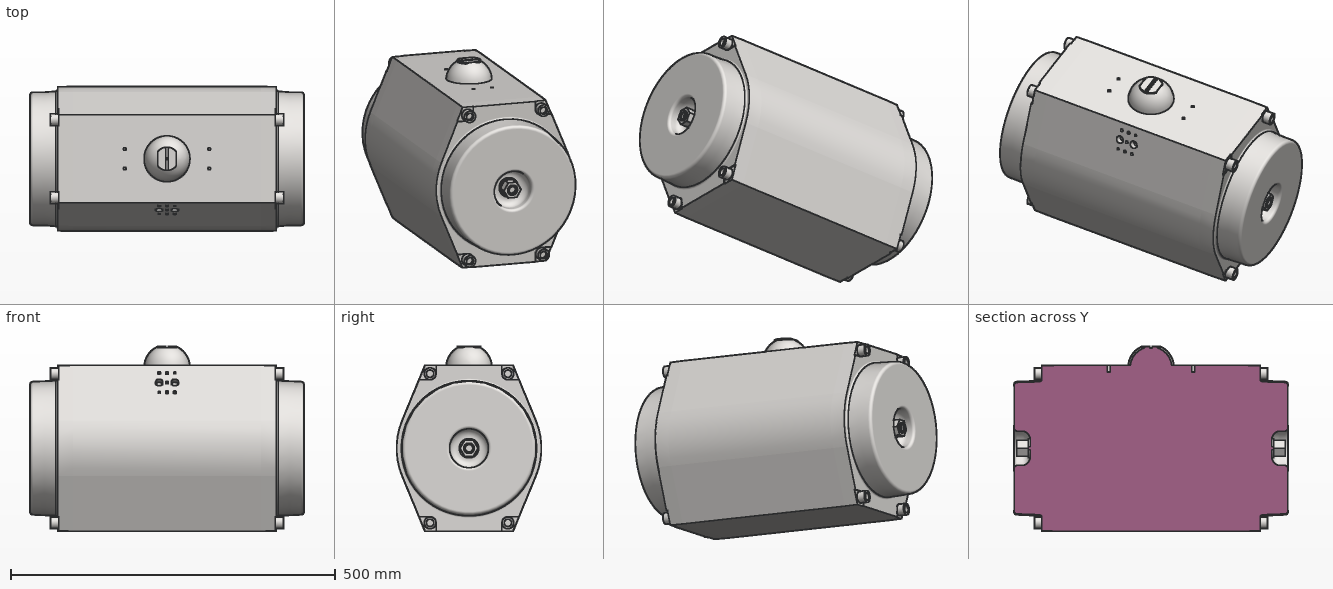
import cadquery as cq
import math

half_length = 211.0
overall_height = 285.0
body_half = 144.5
flange_end = 168.5
half_height = 128.0
flat_half_width = 68.0
side_radius = 223.2 / 2
flange_draft = 1.0

edge_distance = math.hypot(flat_half_width, half_height)
tangent_angle = math.atan2(half_height, flat_half_width) - math.acos(side_radius / edge_distance)
tangent_y = side_radius * math.cos(tangent_angle)
tangent_z = side_radius * math.sin(tangent_angle)

cap_root_radius = 104.2
cap_face_radius = 102.5
cap_root_fillet = 3.0
cap_edge_fillet = 5.0

bowl_radius = 60.0 / 2
bowl_rim_fillet = 4.5
bowl_depth = 25.0
bowl_floor_radius = 36.0 / 2
washer_diameter = 30.0
washer_thickness = 3.0
nut_across_flats = 24.0
nut_height = 17.5
screw_diameter = 16.0
screw_protrusion = 0.5
screw_socket_diameter = 11.5
screw_socket_depth = 4.2

bolt_y = 60.0
bolt_z = 114.8
bolt_head_diameter = 18.0
bolt_head_end = 179.5
bolt_socket_diameter = 11.5
bolt_socket_depth = 6.0
corner_radius = 9.3
corner_depth = 1.5

dome_base_radius = 35.5
dome_centre_drop = 4.0
indicator_diameter = 36.0
indicator_width = 29.0
indicator_top = overall_height - half_height
slot_width = 4.0
slot_depth = 2.5
indicator_hole_diameter = 3.0
indicator_hole_depth = 5.0

mount_x = 65.0
mount_y = 30.0 / 2
mount_diameter = 4.15
mount_depth = 10.0

valve_z = 101.3
valve_pitch_x = 24.0 / 2
valve_pitch_slope = 16.0
port_diameter = 11.5
port_depth = 12.5
valve_hole_diameter = 4.15
pin_hole_diameter = 3.0
valve_hole_depth = 10.0
drill_tip = 118.0


def section(x):
    """Housing outline in the plane across X."""
    return (
        cq.Workplane("YZ", origin=(x, 0, 0))
        .moveTo(-flat_half_width, half_height)
        .lineTo(flat_half_width, half_height)
        .lineTo(tangent_y, tangent_z)
        .threePointArc((side_radius, 0), (tangent_y, -tangent_z))
        .lineTo(flat_half_width, -half_height)
        .lineTo(-flat_half_width, -half_height)
        .lineTo(-tangent_y, -tangent_z)
        .threePointArc((-side_radius, 0), (-tangent_y, tangent_z))
        .close()
    )


def x_cylinder(diameter, x_start, x_end, y=0, z=0):
    return (
        cq.Workplane("YZ", origin=(x_start, y, z))
        .circle(diameter / 2)
        .extrude(x_end - x_start)
    )


def corner_seat(y_side, z_side):
    """Shallow step open to the outside of the flange corner, rounded under the bolt."""
    side = 4 * corner_radius
    offset = side / 2 - corner_radius
    seat = (
        cq.Workplane("YZ", origin=(flange_end - corner_depth, 0, 0))
        .rect(side, side)
        .extrude(corner_depth)
        .edges("|X")
        .fillet(corner_radius)
    )
    return seat.translate((0, y_side * (bolt_y + offset), z_side * (bolt_z + offset)))


def cap():
    """Drafted round cap with a rounded edge, running back to the middle housing."""
    profile = (
        cq.Workplane("XZ")
        .moveTo(body_half, 0)
        .lineTo(body_half, cap_root_radius)
        .lineTo(flange_end, cap_root_radius)
        .lineTo(half_length, cap_face_radius)
        .lineTo(half_length, 0)
        .close()
    )
    solid = profile.revolve(360, (0, 0, 0), (1, 0, 0))
    return solid.faces(">X").edges().fillet(cap_edge_fillet)


def root_fillet():
    """Concave ring between the flange face and the cap."""
    outer = cap_root_radius + cap_root_fillet
    end = flange_end + cap_root_fillet
    bend = cap_root_fillet * (1 - math.sqrt(0.5))
    return (
        cq.Workplane("XZ")
        .moveTo(flange_end, cap_root_radius - cap_root_fillet)
        .lineTo(flange_end, outer)
        .threePointArc((flange_end + bend, cap_root_radius + bend), (end, cap_root_radius))
        .lineTo(end, cap_root_radius - cap_root_fillet)
        .close()
        .revolve(360, (0, 0, 0), (1, 0, 0))
    )


def bowl():
    """Space cut from the cap face: rounded rim, short wall, rounded bottom."""
    floor_fillet = bowl_radius - bowl_floor_radius
    floor = half_length - bowl_depth
    wall_start = half_length - bowl_rim_fillet
    rim_bend = bowl_rim_fillet * (1 - math.sqrt(0.5))
    floor_bend = floor_fillet * (1 - math.sqrt(0.5))
    return (
        cq.Workplane("XZ")
        .moveTo(half_length, 0)
        .lineTo(half_length, bowl_radius + bowl_rim_fillet)
        .threePointArc((half_length - rim_bend, bowl_radius + rim_bend), (wall_start, bowl_radius))
        .lineTo(floor + floor_fillet, bowl_radius)
        .threePointArc((floor + floor_bend, bowl_radius - floor_bend), (floor, bowl_floor_radius))
        .lineTo(floor, 0)
        .close()
        .revolve(360, (0, 0, 0), (1, 0, 0))
    )


def stop_screw():
    """Washer, hexagon nut and socketed screw end on the bowl floor."""
    floor = half_length - bowl_depth
    nut_start = floor + washer_thickness
    nut_end = nut_start + nut_height
    screw_end = nut_end + screw_protrusion
    nut_corners = nut_across_flats / math.cos(math.radians(30))
    nut = cq.Workplane("YZ", origin=(nut_start, 0, 0)).polygon(6, nut_corners).extrude(nut_height)
    return (
        x_cylinder(washer_diameter, floor, nut_start)
        .union(nut)
        .union(x_cylinder(screw_diameter, floor, screw_end))
        .cut(x_cylinder(screw_socket_diameter, screw_end - screw_socket_depth, screw_end))
    )


def end_assembly():
    """Flange, cap, stop screw and bolts at the +X end."""
    end = section(body_half).extrude(flange_end - body_half, taper=flange_draft)
    corners = [(y_side, z_side) for y_side in (-1, 1) for z_side in (-1, 1)]
    for y_side, z_side in corners:
        end = end.cut(corner_seat(y_side, z_side))
    end = end.union(cap()).union(root_fillet())
    for y_side, z_side in corners:
        y = y_side * bolt_y
        z = z_side * bolt_z
        end = end.union(x_cylinder(bolt_head_diameter, body_half, bolt_head_end, y, z))
        end = end.cut(
            x_cylinder(bolt_socket_diameter, bolt_head_end - bolt_socket_depth, bolt_head_end, y, z)
        )
    return end.cut(bowl()).union(stop_screw())


def dome():
    """Part of a sphere above the top flat, cut off level with the indicator."""
    height = indicator_top - half_height
    sphere_radius = math.hypot(dome_base_radius, dome_centre_drop)
    ball = cq.Workplane("XY").sphere(sphere_radius).translate((0, 0, half_height - dome_centre_drop))
    slab = (
        cq.Workplane("XY", origin=(0, 0, half_height))
        .rect(2 * sphere_radius, 2 * sphere_radius)
        .extrude(height)
    )
    return ball.intersect(slab)


def indicator():
    """Round pad with two flats, standing in the dome."""
    height = indicator_top - half_height
    base = cq.Workplane("XY", origin=(0, 0, half_height))
    pad = base.circle(indicator_diameter / 2).extrude(height)
    return pad.intersect(base.rect(indicator_width, indicator_diameter).extrude(height))


def indicator_slot():
    """Screwdriver slot along Y with a small hole at its middle."""
    top = cq.Workplane("XY", origin=(0, 0, indicator_top))
    hole = top.circle(indicator_hole_diameter / 2).extrude(-indicator_hole_depth)
    return top.rect(slot_width, indicator_diameter).extrude(-slot_depth).union(hole)


def mounting_holes():
    return (
        cq.Workplane("XY", origin=(0, 0, half_height))
        .rect(2 * mount_x, 2 * mount_y, forConstruction=True)
        .vertices()
        .circle(mount_diameter / 2)
        .extrude(-mount_depth)
    )


def valve_holes():
    """Two ports among five tapped holes and two pin holes, square to the sloping side."""
    slope_y = (side_radius - valve_z * math.sin(tangent_angle)) / math.cos(tangent_angle)
    normal = (0, -math.cos(tangent_angle), math.sin(tangent_angle))
    side = cq.Workplane(cq.Plane(origin=(0, -slope_y, valve_z), xDir=(1, 0, 0), normal=normal))
    plain = [
        (0, 0),
        (-valve_pitch_x, valve_pitch_slope),
        (0, valve_pitch_slope),
        (0, -valve_pitch_slope),
        (valve_pitch_x, -valve_pitch_slope),
    ]
    pins = [(valve_pitch_x, valve_pitch_slope), (-valve_pitch_x, -valve_pitch_slope)]
    holes = side.pushPoints(plain).circle(valve_hole_diameter / 2).extrude(-valve_hole_depth)
    holes = holes.union(
        side.pushPoints(pins).circle(pin_hole_diameter / 2).extrude(-valve_hole_depth)
    )
    tip_length = port_diameter / 2 / math.tan(math.radians(drill_tip / 2))
    port = (
        cq.Workplane("XZ")
        .lineTo(port_diameter / 2, 0)
        .lineTo(port_diameter / 2, -port_depth)
        .lineTo(0, -port_depth - tip_length)
        .close()
        .revolve(360, (0, 0, 0), (0, 1, 0))
    )
    for x in (-valve_pitch_x, valve_pitch_x):
        holes = holes.union(cq.Workplane(port.val().moved(side.plane.location)).translate((x, 0, 0)))
    return holes


end = end_assembly()
result = (
    section(-body_half)
    .extrude(2 * body_half)
    .union(end)
    .union(end.mirror("YZ"))
    .union(dome())
    .union(indicator())
    .cut(indicator_slot())
    .cut(mounting_holes())
    .cut(valve_holes())
)